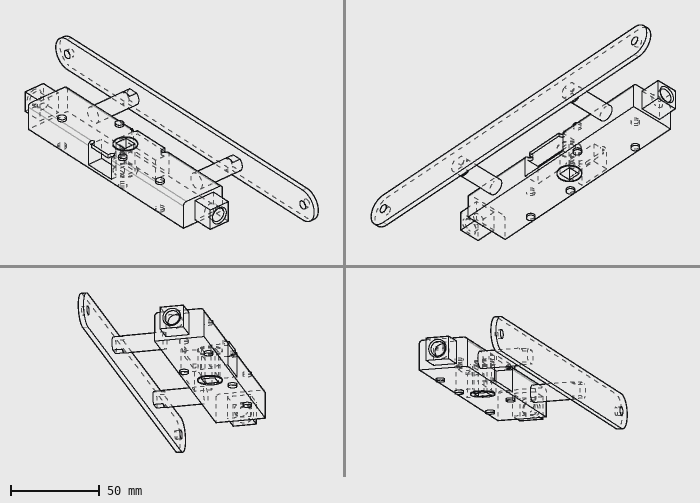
import cadquery as cq
plate_length = 225.0
plate_width = 20.0
plate_thickness = 3.2
plate_hole_diameter = 5.0

total_depth = 61.5
plate_back_y = total_depth / 2
plate_front_y = plate_back_y - plate_thickness
plate_hole_x = (plate_length - plate_width) / 2

case_length = 135.0
case_depth = 28.8
case_height = 17.0
case_edge_radius = 2.2
case_front_y = -total_depth / 2
case_back_y = case_front_y + case_depth
case_center_y = (case_front_y + case_back_y) / 2
case_top_z = case_height / 2
bend_z = case_top_z - case_edge_radius
case_end_x = case_length / 2

post_diameter = 10.0
post_x = 45.0
post_length = plate_front_y - case_back_y
post_across_flats = 7.9
post_flat_length = 5.5

hub_diameter = 14.0
hub_height = 18.2
spindle_width = 7.6

rivet_diameter = 5.0
rivet_height = 19.8
rivet_front_y = -26.8
rivet_back_y = -5.8
rivet_points = [
    (-17.5, rivet_back_y),
    (-42.8, rivet_front_y),
    (10.1, rivet_front_y),
    (42.5, rivet_front_y),
]

bolt_overhang = 13.0
bolt_depth = 13.5
bolt_height = 13.0
bolt_center_y = -15.3
bolt_end_x = case_end_x + bolt_overhang
bore_diameter = 8.3
bore_mouth_diameter = 10.4
bore_depth = 7.9
bore_tip_depth = 2.5

front_window_x = (-15.3, 4.7)
back_window_x = (-10.0, 21.0)
window_depth = 10.0
window_bottom_z = -bolt_height / 2
window_sides = ((front_window_x, case_front_y, 1), (back_window_x, case_back_y, -1))

front_relief_width = 2.7
front_relief_depth = 3.2
back_relief_width = 3.4
back_left_relief_depth = 2.5
back_right_relief_depth = 3.8


def box_between(x_range, y_range, z_range):
    """Box spanning the given (low, high) ranges."""
    size = [high - low for low, high in (x_range, y_range, z_range)]
    corner = (x_range[0], y_range[0], z_range[0])
    return cq.Workplane("XY").box(*size, centered=False).translate(corner)


def make_plate():
    blank = cq.Workplane("XZ", origin=(0, plate_back_y, 0)).slot2D(plate_length, plate_width)
    holes = (
        cq.Workplane("XZ", origin=(0, plate_back_y, 0))
        .pushPoints([(-plate_hole_x, 0), (plate_hole_x, 0)])
        .circle(plate_hole_diameter / 2)
        .extrude(plate_thickness)
    )
    return blank.extrude(plate_thickness).cut(holes)


def make_post(x):
    round_post = (
        cq.Workplane("XZ", origin=(x, plate_front_y, 0))
        .circle(post_diameter / 2)
        .extrude(post_length)
    )
    for side in (-1, 1):
        flat_cut = cq.Workplane("XY").box(post_diameter, post_flat_length, post_diameter)
        flat_y = plate_front_y - post_flat_length / 2
        flat_z = side * (post_across_flats + post_diameter) / 2
        round_post = round_post.cut(flat_cut.translate((x, flat_y, flat_z)))
    return round_post


def make_relief(x, edge_y, inward, width, depth):
    """Cutter for a slot from a long top edge; inward is +1 or -1 along Y."""
    radius = width / 2
    arc_start_y = edge_y + inward * (depth - radius)
    return (
        cq.Workplane("XY", origin=(0, 0, bend_z))
        .moveTo(x - radius, edge_y)
        .lineTo(x - radius, arc_start_y)
        .threePointArc((x, edge_y + inward * depth), (x + radius, arc_start_y))
        .lineTo(x + radius, edge_y)
        .close()
        .extrude(case_edge_radius)
    )


def make_folded_edge(x_range, edge_y, inward):
    """Cutter that rounds one long top edge over a range of X."""
    low, high = sorted((edge_y, edge_y + inward * case_edge_radius))
    corner = box_between(x_range, (low, high), (bend_z, case_top_z))
    rounding = (
        cq.Workplane("YZ", origin=(x_range[0], edge_y + inward * case_edge_radius, bend_z))
        .circle(case_edge_radius)
        .extrude(x_range[1] - x_range[0])
    )
    return corner.cut(rounding)


def make_window(x_range, edge_y, inward):
    """Cutter for a blind window in a long side; inward is +1 or -1 along Y."""
    y_range = sorted((edge_y, edge_y + inward * window_depth))
    return box_between(x_range, y_range, (window_bottom_z, bend_z))


def make_bosses():
    """Hub and rivet heads, standing out equally above and below the case."""
    hub = (
        cq.Workplane("XY", origin=(0, case_center_y, 0))
        .circle(hub_diameter / 2)
        .extrude(hub_height / 2, both=True)
    )
    rivets = (
        cq.Workplane("XY")
        .pushPoints(rivet_points)
        .circle(rivet_diameter / 2)
        .extrude(rivet_height / 2, both=True)
    )
    return hub.union(rivets)


def make_case():
    case = box_between(
        (-case_end_x, case_end_x), (case_front_y, case_back_y), (-case_top_z, case_top_z)
    )

    for window_x, edge_y, inward in window_sides:
        for x_range in ((-case_end_x, window_x[0]), (window_x[1], case_end_x)):
            case = case.cut(make_folded_edge(x_range, edge_y, inward))

    case = case.union(make_bosses())

    for window_x, edge_y, inward in window_sides:
        case = case.cut(make_window(window_x, edge_y, inward))

    for x, depth in (
        (front_window_x[0] + front_relief_width / 2, front_relief_depth),
        (front_window_x[1] - front_relief_width / 2, front_relief_depth),
    ):
        case = case.cut(make_relief(x, case_front_y, 1, front_relief_width, depth))
    for x, depth in (
        (back_window_x[0] + back_relief_width / 2, back_left_relief_depth),
        (back_window_x[1] - back_relief_width / 2, back_right_relief_depth),
    ):
        case = case.cut(make_relief(x, case_back_y, -1, back_relief_width, depth))

    spindle_hole = (
        cq.Workplane("XY", origin=(0, case_center_y, 0))
        .rect(spindle_width, spindle_width)
        .extrude(hub_height / 2, both=True)
    )
    return case.cut(spindle_hole)


def make_lock():
    """Case, posts and faceplate: the fixed body."""
    lock = make_case()
    for x in (-post_x, post_x):
        lock = lock.union(make_post(x))
    return lock.union(make_plate())


def make_bolt(side):
    """Bolt block against one end of the case; side is -1 or +1 along X."""
    block = box_between(
        (case_end_x, bolt_end_x),
        (bolt_center_y - bolt_depth / 2, bolt_center_y + bolt_depth / 2),
        (-bolt_height / 2, bolt_height / 2),
    )
    bore_radius = bore_diameter / 2
    mouth_radius = bore_mouth_diameter / 2
    chamfer = mouth_radius - bore_radius
    bore = (
        cq.Workplane("XY")
        .moveTo(bolt_end_x, 0)
        .lineTo(bolt_end_x, mouth_radius)
        .lineTo(bolt_end_x - chamfer, bore_radius)
        .lineTo(bolt_end_x - bore_depth, bore_radius)
        .lineTo(bolt_end_x - bore_depth - bore_tip_depth, 0)
        .close()
        .revolve(360, (0, 0, 0), (1, 0, 0))
        .translate((0, bolt_center_y, 0))
    )
    bolt = block.cut(bore)
    return bolt if side > 0 else bolt.mirror("YZ")


lock = make_lock()
bolts = [make_bolt(side) for side in (-1, 1)]

result = cq.Compound.makeCompound([lock.val(), *[bolt.val() for bolt in bolts]])